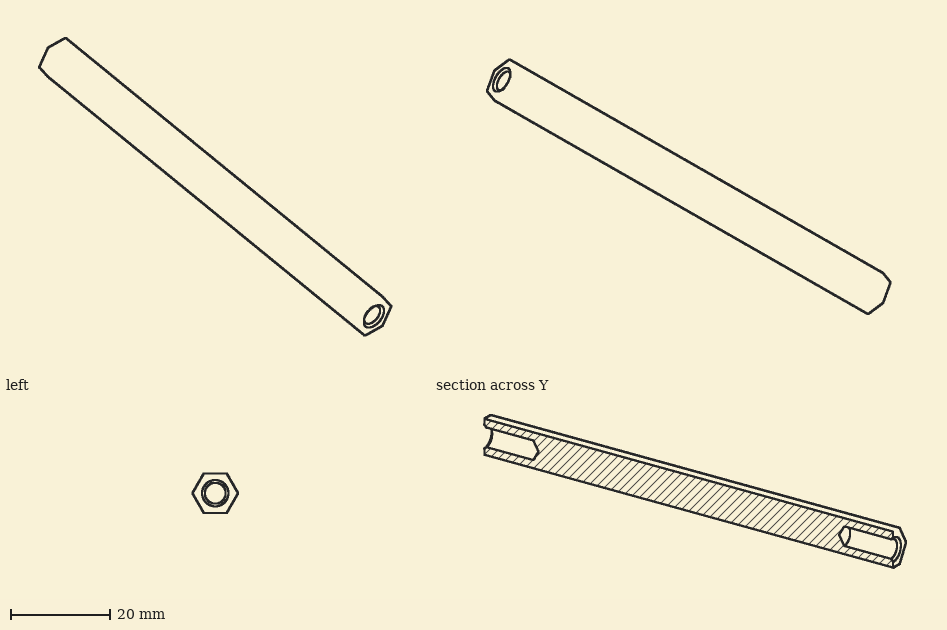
import cadquery as cq
import math

length = 100.0
side_count = 6
across_flats = 8.0
edge_radius = 0.1

core_diameter = 4.2
mouth_diameter = 5.3
countersink_angle = 45.0
hole_depth = 12.0
drill_point_angle = 120.0

half_length = length / 2
across_corners = across_flats / math.cos(math.pi / side_count)


def make_hex_bar():
    """Hexagonal bar with softened edges, centred on the origin, flats facing +Z and -Z."""
    bar = (
        cq.Workplane("YZ")
        .polygon(side_count, across_corners)
        .extrude(half_length, both=True)
    )
    return bar.edges().fillet(edge_radius)


def make_end_hole():
    """Countersunk blind hole with a drill point, entering from the -X end."""
    core_radius = core_diameter / 2
    mouth_radius = mouth_diameter / 2
    countersink_depth = (mouth_radius - core_radius) / math.tan(math.radians(countersink_angle))
    point_length = core_radius / math.tan(math.radians(drill_point_angle / 2))
    hole_bottom = -half_length + hole_depth
    return (
        cq.Workplane("XY")
        .moveTo(-half_length, 0)
        .lineTo(-half_length, mouth_radius)
        .lineTo(-half_length + countersink_depth, core_radius)
        .lineTo(hole_bottom, core_radius)
        .lineTo(hole_bottom + point_length, 0)
        .close()
        .revolve(360, (0, 0, 0), (1, 0, 0))
    )


end_hole = make_end_hole()
result = (
    make_hex_bar()
    .cut(end_hole)
    .cut(end_hole.mirror("YZ"))
)